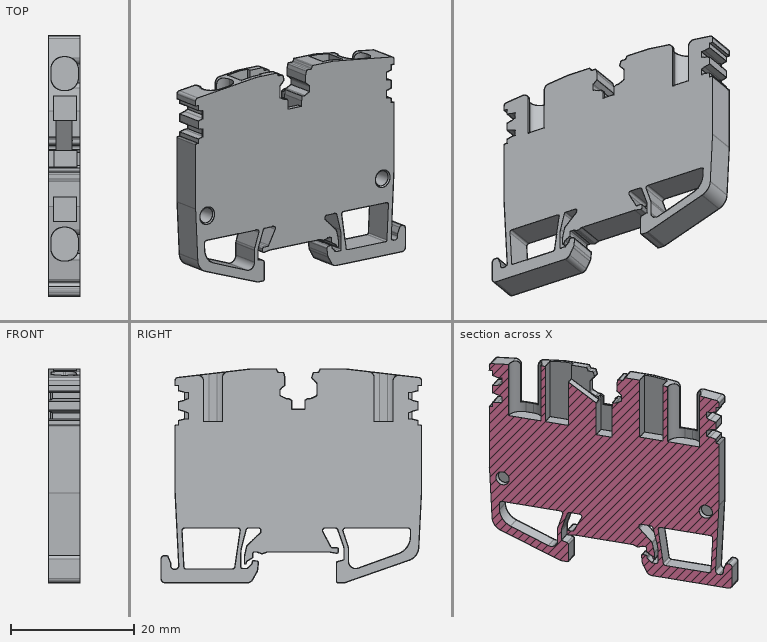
import cadquery as cq
import math

LENGTH = 42.25
THICKNESS = 5.1
HEIGHT = 34.7
BODY_HALF = 20.0
FOOT_END_Y = BODY_HALF - LENGTH

TAPER_TOP_Z = 14.57
TAPER_SLOPE = 0.05

ROOF_HALF = 7.75
ROOF_END_Z = 33.25
ROOF_END_RADIUS = 0.5

STRIP_TOP_Z = 31.98
STRIP_BOTTOM_Z = 25.6
STRIP_Y = BODY_HALF - 0.55
GROOVE_Y = BODY_HALF - 1.5
GROOVE_FLOORS = ((30.88, 29.6), (27.8, 26.55))
DEEP_GROOVE_FLOORS = ((30.88, 29.85), (27.55, 26.55))
GROOVE_FLARE = 0.25
GROOVE_WEB = 0.35
GROOVE_WEB_CHAMFER = 0.3
GROOVE_EXTRA_DEPTH = 0.65

LEDGE_Z = 29.85
WEB_TOP_Z = 28.17
SLOT_HALF = 1.35
FAR_SLOT_HALF = 1.05
FAR_SLOT_MOUTH_Z = 29.55
SLOT_MOUTH_HALF = 1.48
SLOT_MOUTH_Z = 29.1

POCKET_X = (0.95, 4.65)
POCKET_FLOOR_Z = 23.65

WIRE_Y = 13.8
WIRE_LENGTH = 5.5
WIRE_X = (0.4, 4.85)
WIRE_CORNER = 2.05
SQUARE_Y = (6.2, 10.2)
SQUARE_X = (0.85, 4.55)
OPENING_FLOOR_Z = 24.5

GAP_WIDTH = 3.05
GAP_ROUND = 1.0
GAP_FLOOR_Z = 26.2

CHANNEL_X = (1.22, 3.85)
CHANNEL_LOW_Z = 29.3
CHANNEL_HIGH_Z = 32.25

SOCKET_Y = 17.65
SOCKET_Z = 13.05
SOCKET_MOUTH_RADIUS = 1.48
SOCKET_RADIUS = 1.25
SOCKET_END_RADIUS = 1.05
SOCKET_LEAD_IN = 0.25
SOCKET_DEPTH = 3.4

WINDOW_TOP_Z = 8.85
SEAT_Z = 5.0


def rounded_wire(corners):
    """Closed YZ wire through (y, z, corner radius) corners."""
    stretches = []
    for i, (y, z, radius) in enumerate(corners):
        here = cq.Vector(y, z)
        if radius == 0:
            stretches.append((here,))
            continue
        before = (cq.Vector(*corners[i - 1][:2]) - here).normalized()
        after = (cq.Vector(*corners[(i + 1) % len(corners)][:2]) - here).normalized()
        half_angle = before.getAngle(after) / 2
        setback = radius / math.tan(half_angle)
        bisector = (before + after).normalized()
        middle = here + bisector * (radius / math.sin(half_angle) - radius)
        stretches.append((here + before * setback, middle, here + after * setback))

    wire = cq.Workplane("YZ").moveTo(*stretches[0][-1].toTuple()[:2])
    for stretch in stretches[1:] + stretches[:1]:
        wire = wire.lineTo(*stretch[0].toTuple()[:2])
        if len(stretch) == 3:
            wire = wire.threePointArc(stretch[1].toTuple()[:2], stretch[2].toTuple()[:2])
    return wire.close()


def prism(corners, x_start=0.0, x_end=THICKNESS):
    """Solid with a rounded YZ outline between two X positions."""
    return rounded_wire(corners).extrude(x_end - x_start).translate((x_start, 0, 0))


def box(x_range, y_range, z_range):
    """Block given by its (low, high) range along each axis."""
    sizes = [high - low for low, high in (x_range, y_range, z_range)]
    corner = (x_range[0], y_range[0], z_range[0])
    return cq.Workplane("XY").box(*sizes, centered=False).translate(corner)


def side_y(z):
    """Half width of the tapered lower wall at height z."""
    return BODY_HALF - TAPER_SLOPE * (TAPER_TOP_Z - z)


def roof_z(y):
    """Height of the sloping roof at +Y position y."""
    return HEIGHT - (HEIGHT - ROOF_END_Z) * (y - ROOF_HALF) / (BODY_HALF - ROOF_HALF)


def end_corners():
    """+Y end of the body, from the roof down to the start of the taper."""
    corners = [
        (ROOF_HALF, HEIGHT, 0),
        (BODY_HALF, ROOF_END_Z, ROOF_END_RADIUS),
        (BODY_HALF, STRIP_TOP_Z, 0),
        (STRIP_Y, STRIP_TOP_Z, 0),
    ]
    for top, bottom in GROOVE_FLOORS:
        corners += [
            (STRIP_Y, top + GROOVE_FLARE, 0),
            (GROOVE_Y, top, 0),
            (GROOVE_Y, bottom, 0),
            (STRIP_Y, bottom - GROOVE_FLARE, 0),
        ]
    corners += [
        (STRIP_Y, STRIP_BOTTOM_Z, 0),
        (BODY_HALF, STRIP_BOTTOM_Z, 0.15),
        (BODY_HALF, TAPER_TOP_Z, 0),
    ]
    return corners


plain_foot = [
    (side_y(4.2), 4.2, 2.32),
    (7.48, 0, 0.65),
    (6.15, 0, 0.3),
    (6.15, 3.42, 0.35),
    (7.4, 3.75, 0),
    (7.4, 5.7, 1.25),
    (6.3, WINDOW_TOP_Z, 0.4),
]

rail_seat = [
    (3.67, WINDOW_TOP_Z, 0.4),
    (5.35, 5.7, 0.25),
    (6.5, 5.7, 0.25),
    (6.5, 4.75, 0.3),
    (5.05, SEAT_Z, 0),
    (-5.05, SEAT_Z, 0),
    (-5.87, 4.7, 0.42),
    (-6.67, SEAT_Z, 0),
    (-7.35, SEAT_Z, 0.2),
    (-7.35, 4.1, 0),
    (-8.32, 3.5, 0.15),
    (-8.5, 3.05, 0.13),
    (-8.75, 3.05, 0),
    (-8.75, 4.3, 0),
    (-8.35, 6.0, 0.25),
    (-6.1, 8.2, 0.2),
    (-6.1, WINDOW_TOP_Z, 0.3),
]

spring_foot = [
    (-8.35, WINDOW_TOP_Z, 0.35),
    (-9.3, 5.32, 5.05),
    (-9.3, 2.35, 0.2),
    (-8.3, 2.35, 0),
    (-7.5, 3.05, 0.2),
    (-7.45, 3.65, 0.25),
    (-6.4, 3.55, 0.35),
    (-6.6, 1.95, 1.25),
    (-7.7, 0, 1.0),
    (FOOT_END_Y, 0, 0.7),
    (FOOT_END_Y, 4.45, 0.6),
    (-21.15, 4.45, 0.35),
    (-20.65, 3.2, 0.2),
    (-20.65, 2.25, 0.55),
    (-side_y(2.25), 2.25, 0.55),
]

notch = [
    (-3.55, HEIGHT, 0.15),
    (-3.3, 34.15, 0.2),
    (-2.35, 34.15, 0.25),
    (-2.15, 33.3, 0),
    (-2.15, 32.0, 0),
    (-2.95, 31.35, 0.2),
    (-2.95, 30.35, 0),
    (-1.95, LEDGE_Z, 0.25),
    (-SLOT_MOUTH_HALF, LEDGE_Z, 0),
    (-SLOT_HALF, SLOT_MOUTH_Z, 0),
    (-SLOT_HALF, WEB_TOP_Z, 0),
    (SLOT_HALF, WEB_TOP_Z, 0),
    (SLOT_HALF, SLOT_MOUTH_Z, 0),
    (SLOT_MOUTH_HALF, LEDGE_Z, 0),
    (1.95, LEDGE_Z, 0.25),
    (3.0, 30.35, 0.2),
    (3.0, 32.35, 0.2),
    (2.15, 33.25, 0),
    (2.4, 34.15, 0.25),
    (3.3, 34.15, 0.2),
    (3.55, HEIGHT, 0.15),
]

plain_foot_window = [
    (18.15, WINDOW_TOP_Z, 0.35),
    (7.1, WINDOW_TOP_Z, 0.4),
    (8.15, 5.7, 1.25),
    (8.15, 1.85, 1.15),
    (18.1, 5.45, 2.87),
]

spring_foot_window = [
    (-9.38, WINDOW_TOP_Z, 0.35),
    (-10.35, 2.3, 0.4),
    (-18.5, 2.3, 0.25),
    (-18.85, WINDOW_TOP_Z, 0.4),
]


def make_body():
    near_end = end_corners()
    far_end = [(-y, z, radius) for y, z, radius in reversed(near_end)]
    body = prism(near_end + plain_foot + rail_seat + spring_foot + far_end + notch)
    return body.cut(prism(plain_foot_window)).cut(prism(spring_foot_window))


def far_slot_cheek():
    """Block that narrows the notch slot in the far web on the +Y side."""
    corners = [
        (FAR_SLOT_HALF, WEB_TOP_Z, 0),
        (FAR_SLOT_HALF, FAR_SLOT_MOUTH_Z, 0),
        (SLOT_MOUTH_HALF, LEDGE_Z, 0),
        (SLOT_MOUTH_HALF, WEB_TOP_Z, 0),
    ]
    return prism(corners, POCKET_X[1], THICKNESS)


def notch_pocket():
    return box(POCKET_X, (-SLOT_HALF, SLOT_HALF), (POCKET_FLOOR_Z, WEB_TOP_Z))


def channel():
    corners = [
        (SLOT_HALF, CHANNEL_LOW_Z, 0),
        (SQUARE_Y[0], CHANNEL_HIGH_Z, 0),
        (SQUARE_Y[0], HEIGHT, 0),
        (SLOT_HALF, HEIGHT, 0),
    ]
    return prism(corners, *CHANNEL_X)


def square_opening():
    return box(SQUARE_X, SQUARE_Y, (OPENING_FLOOR_Z, HEIGHT))


def wire_opening():
    y_range = (WIRE_Y - WIRE_LENGTH / 2, WIRE_Y + WIRE_LENGTH / 2)
    hole = box(WIRE_X, y_range, (OPENING_FLOOR_Z, HEIGHT))
    return hole.edges("|Z").fillet(WIRE_CORNER)


def wall_gap():
    """Slit with flared, rounded lips where a wire hole breaks the far wall."""
    wall_low, wall_high = WIRE_Y - GAP_WIDTH / 2, WIRE_Y + GAP_WIDTH / 2
    lip_low, lip_high = wall_low - GAP_ROUND, wall_high + GAP_ROUND
    sag = GAP_ROUND * (1 - math.sqrt(0.5))
    profile = (
        cq.Workplane("YZ")
        .moveTo(lip_low, roof_z(lip_low))
        .threePointArc(
            (wall_low - sag, roof_z(lip_low) - sag),
            (wall_low, roof_z(lip_low) - GAP_ROUND),
        )
        .lineTo(wall_low, GAP_FLOOR_Z)
        .lineTo(wall_high, GAP_FLOOR_Z)
        .lineTo(wall_high, roof_z(lip_high) - GAP_ROUND)
        .threePointArc(
            (wall_high + sag, roof_z(lip_high) - sag),
            (lip_high, roof_z(lip_high)),
        )
        .lineTo(lip_high, HEIGHT)
        .lineTo(lip_low, HEIGHT)
        .close()
    )
    x_start = sum(WIRE_X) / 2
    return profile.extrude(THICKNESS - x_start).translate((x_start, 0, 0))


def groove_deepening(mouth, floor):
    """Deeper part of a groove behind its web; mouth and floor give top and bottom Z."""
    floor_y = GROOVE_Y - GROOVE_EXTRA_DEPTH
    plan = [
        (GROOVE_WEB, GROOVE_Y),
        (GROOVE_WEB + GROOVE_WEB_CHAMFER, floor_y),
        (THICKNESS, floor_y),
        (THICKNESS, GROOVE_Y),
    ]
    section = [
        (GROOVE_Y, mouth[0], 0),
        (floor_y, floor[0], 0),
        (floor_y, floor[1], 0),
        (GROOVE_Y, mouth[1], 0),
    ]
    return cq.Workplane("XY").polyline(plan).close().extrude(HEIGHT).intersect(prism(section))


def pin_socket():
    half_section = [
        (0, 0),
        (0, SOCKET_MOUTH_RADIUS),
        (SOCKET_LEAD_IN, SOCKET_RADIUS),
        (SOCKET_DEPTH, SOCKET_END_RADIUS),
        (SOCKET_DEPTH, 0),
    ]
    socket = cq.Workplane("XY").polyline(half_section).close().revolve(360, (0, 0), (1, 0))
    return socket.translate((0, SOCKET_Y, SOCKET_Z))


end_cuts = [square_opening(), wire_opening(), wall_gap(), pin_socket()]
end_cuts += [groove_deepening(*levels) for levels in zip(GROOVE_FLOORS, DEEP_GROOVE_FLOORS)]

cheek = far_slot_cheek()
result = make_body().union(cheek).union(cheek.mirror("XZ"))
result = result.cut(notch_pocket()).cut(channel())
for cut in end_cuts:
    result = result.cut(cut).cut(cut.mirror("XZ"))